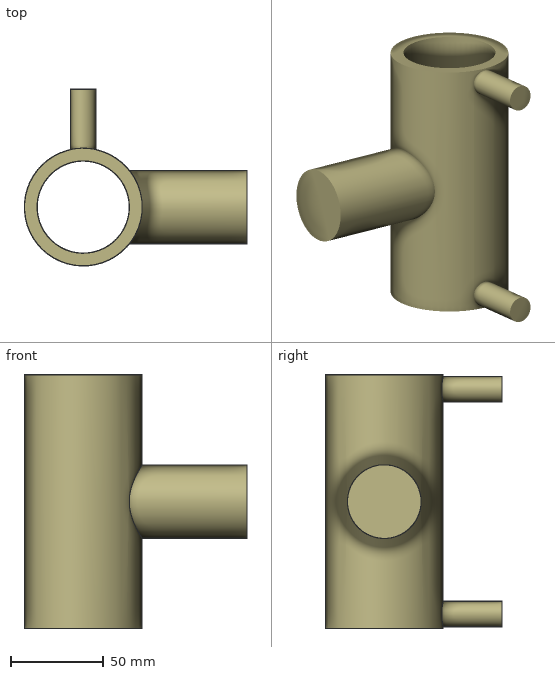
import cadquery as cq

tube_length = 138.0
tube_diameter = 64.0
bore_diameter = 50.0

branch_diameter = 40.0
branch_reach = 89.0

pin_diameter = 14.0
pin_reach = 64.0
pin_end_gap = 1.0
pin_height = tube_length / 2 - pin_end_gap - pin_diameter / 2


def make_branch():
    """Solid round branch running from the tube axis to its +X end."""
    return cq.Workplane("YZ").circle(branch_diameter / 2).extrude(branch_reach)


def make_pin(height):
    """Solid round pin running from the tube axis to its +Y end."""
    pin = cq.Workplane("XZ").circle(pin_diameter / 2).extrude(-pin_reach)
    return pin.translate((0, 0, height))


body = cq.Workplane("XY").circle(tube_diameter / 2).extrude(tube_length / 2, both=True)
body = body.union(make_branch())
for height in (-pin_height, pin_height):
    body = body.union(make_pin(height))

bore = cq.Workplane("XY").circle(bore_diameter / 2).extrude(tube_length / 2, both=True)
result = body.cut(bore)